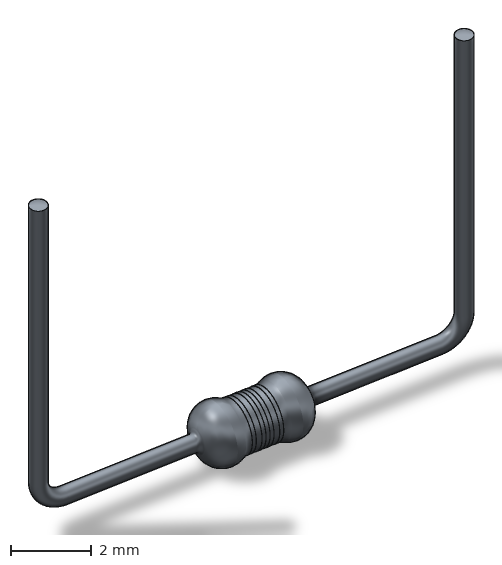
import cadquery as cq
import math

total_length = 13.0
total_height = 10.4

wire_diameter = 0.5
bend_radius = 0.75

bulge_diameter = 1.8
waist_diameter = 1.53
bulge_offset = 0.96
bulge_arc_radius = 0.64
waist_blend_start = 0.42
neck_radius = 0.15

band_diameter = 1.55
band_width = 0.12
inner_band_offset = 0.12
outer_band_offset = 0.4

wire_radius = wire_diameter / 2
bulge_radius = bulge_diameter / 2
waist_radius = waist_diameter / 2
lead_offset = (total_length - wire_diameter) / 2
lead_top = total_height - bulge_radius


def make_leads():
    """Sweep one wire through the body and up at both ends."""
    run = lead_offset - bend_radius
    bend_step = bend_radius * math.sqrt(0.5)
    bend_mid_y = run + bend_step
    bend_mid_z = bend_radius - bend_step
    path = (
        cq.Workplane("YZ")
        .moveTo(-lead_offset, lead_top)
        .lineTo(-lead_offset, bend_radius)
        .threePointArc((-bend_mid_y, bend_mid_z), (-run, 0))
        .lineTo(run, 0)
        .threePointArc((bend_mid_y, bend_mid_z), (lead_offset, bend_radius))
        .lineTo(lead_offset, lead_top)
    )
    section = cq.Workplane("XY", origin=(0, -lead_offset, lead_top)).circle(wire_radius)
    return section.sweep(path)


def arc_point(center, radius, angle):
    return (center[0] + radius * math.cos(angle), center[1] + radius * math.sin(angle))


def make_half_body():
    """Revolve the +Y half: waist, concave blend, bulge and neck, all tangent."""
    bulge_center = (bulge_offset, bulge_radius - bulge_arc_radius)

    gap_y = bulge_offset - waist_blend_start
    step = bulge_radius - waist_radius
    blend_radius = (gap_y**2 + step**2) / (2 * step) - bulge_arc_radius
    blend_center = (waist_blend_start, waist_radius + blend_radius)

    neck_center_r = wire_radius + neck_radius
    rise = neck_center_r - bulge_center[1]
    neck_gap = math.sqrt((bulge_arc_radius + neck_radius) ** 2 - rise**2)
    neck_center = (bulge_offset + neck_gap, neck_center_r)

    blend_angle = math.atan2(blend_center[1] - bulge_center[1], -gap_y)
    neck_angle = math.atan2(rise, neck_gap)
    top_angle = math.pi / 2
    blend_mid_angle = (blend_angle - math.pi - top_angle) / 2
    inner_mid_angle = (blend_angle + top_angle) / 2
    outer_mid_angle = (neck_angle + top_angle) / 2
    neck_mid_angle = (neck_angle - math.pi - top_angle) / 2

    profile = (
        cq.Workplane("YZ")
        .lineTo(0, waist_radius)
        .lineTo(waist_blend_start, waist_radius)
        .threePointArc(
            arc_point(blend_center, blend_radius, blend_mid_angle),
            arc_point(bulge_center, bulge_arc_radius, blend_angle),
        )
        .threePointArc(
            arc_point(bulge_center, bulge_arc_radius, inner_mid_angle),
            (bulge_offset, bulge_radius),
        )
        .threePointArc(
            arc_point(bulge_center, bulge_arc_radius, outer_mid_angle),
            arc_point(bulge_center, bulge_arc_radius, neck_angle),
        )
        .threePointArc(
            arc_point(neck_center, neck_radius, neck_mid_angle),
            (neck_center[0], wire_radius),
        )
        .lineTo(neck_center[0], 0)
        .close()
    )
    return profile.revolve(360, (0, 0), (1, 0))


def make_band(offset):
    """Colour band centred at the given distance along the body axis."""
    return (
        cq.Workplane("XZ", origin=(0, offset, 0))
        .circle(band_diameter / 2)
        .extrude(band_width / 2, both=True)
    )


half_body = make_half_body()
result = make_leads().union(half_body).union(half_body.mirror("XZ"))
for band_offset in (inner_band_offset, outer_band_offset):
    for side in (-1, 1):
        result = result.union(make_band(side * band_offset))